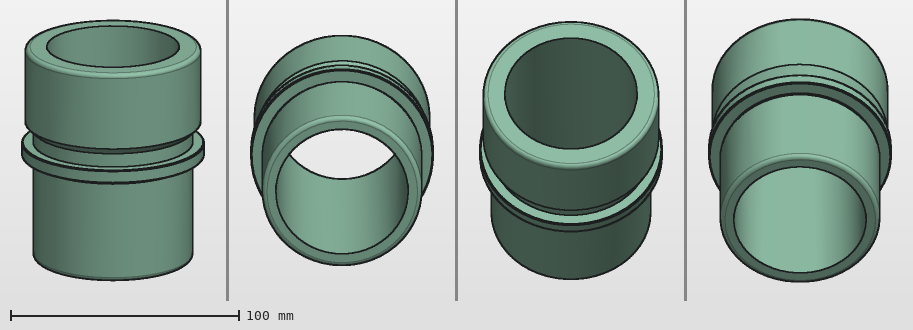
import cadquery as cq

height = 97.0
bore_radius = 29.0
body_radius = 35.0
head_radius = 38.5
flange_diameter = 80.0
flange_radius = flange_diameter / 2

groove_bottom = 45.8
flange_bottom = 46.9
flange_top = 53.0
cone_bottom = 59.1
cone_top = 62.4

groove_depth = 0.7
groove_chamfer = groove_depth
head_rounding = 2.0
body_rounding = 2.0
flange_chamfer = 0.5


def cylinder(radius, bottom, top):
    """Solid cylinder on the Z axis between two heights."""
    return cq.Workplane("XY").workplane(offset=bottom).circle(radius).extrude(top - bottom)


spigot = cylinder(body_radius, 0, groove_bottom)
spigot = spigot.faces("<Z").edges().fillet(body_rounding)
spigot = spigot.faces(">Z").edges().chamfer(groove_chamfer)

groove = cylinder(body_radius - groove_depth, groove_bottom, flange_bottom)
flange = cylinder(flange_radius, flange_bottom, flange_top).edges().chamfer(flange_chamfer)
neck = cylinder(body_radius, flange_top, cone_bottom)

head = (
    cq.Workplane("XZ")
    .moveTo(0, cone_bottom)
    .lineTo(body_radius, cone_bottom)
    .lineTo(head_radius, cone_top)
    .lineTo(head_radius, height)
    .lineTo(0, height)
    .close()
    .revolve(360, (0, 0, 0), (0, 1, 0))
    .faces(">Z")
    .edges()
    .fillet(head_rounding)
)

bore = cylinder(bore_radius, 0, height)
result = spigot.union(groove).union(flange).union(neck).union(head).cut(bore)